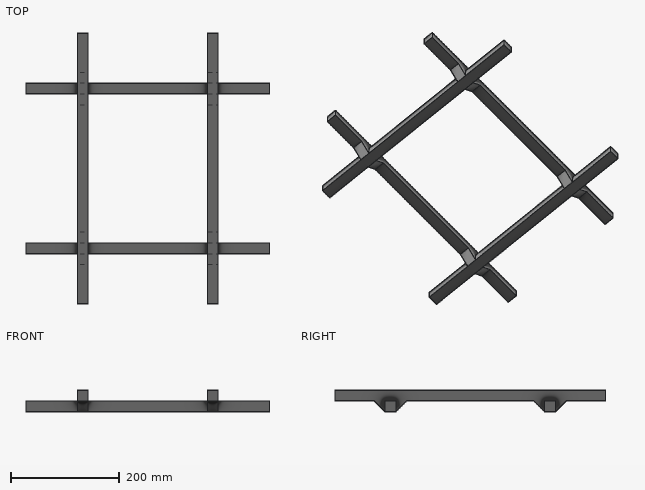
import cadquery as cq

bar_size = 20.0
cross_bar_length = 450.0
long_bar_length = 500.0
long_bar_spacing = 240.0
cross_bar_spacing = 295.0
gusset_leg = bar_size

long_bar_positions = (-long_bar_spacing / 2, long_bar_spacing / 2)
cross_bar_positions = (-cross_bar_spacing / 2, cross_bar_spacing / 2)


def cross_bar(y_center):
    """Lower bar along X, resting on Z = 0."""
    bar = cq.Workplane("XY").box(cross_bar_length, bar_size, bar_size, centered=(True, True, False))
    return bar.translate((0, y_center, 0))


def long_bar(x_center):
    """Upper bar along Y, lying on top of the cross bars."""
    bar = cq.Workplane("XY").box(bar_size, long_bar_length, bar_size, centered=(True, True, False))
    return bar.translate((x_center, 0, bar_size))


def gusset(x_center, y_center, side):
    """Triangular brace under a long bar, on one side (+1 or -1 in Y) of a cross bar."""
    bar_face = y_center + side * bar_size / 2
    tip = bar_face + side * gusset_leg
    profile = [
        (bar_face, bar_size),
        (tip, bar_size),
        (bar_face, bar_size - gusset_leg),
    ]
    brace = cq.Workplane("YZ").polyline(profile).close().extrude(bar_size / 2, both=True)
    return brace.translate((x_center, 0, 0))


frame = cross_bar(cross_bar_positions[0])
for x_position in long_bar_positions:
    frame = frame.union(long_bar(x_position))
frame = frame.union(cross_bar(cross_bar_positions[1]))

for x_position in long_bar_positions:
    for y_position in cross_bar_positions:
        for side in (-1, 1):
            frame = frame.union(gusset(x_position, y_position, side))

result = frame